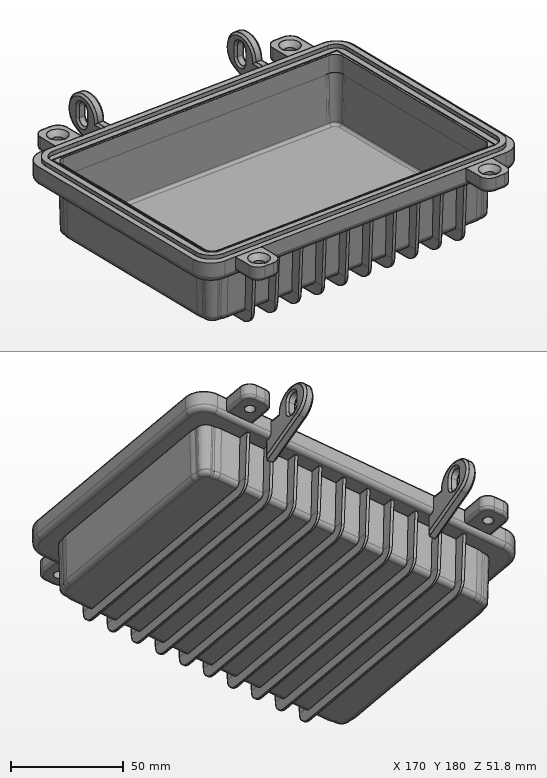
import cadquery as cq
import math


FLANGE_X = 130.0
FLANGE_Y = 180.0
FLANGE_CORNER = 10.0
FLANGE_TOP = 41.8
FLANGE_BOTTOM = 32.0
FLANGE_EDGE_ROUND = 2.5

GASKET_INSET = 2.9
GASKET_WIDTH = 3.0
GASKET_HEIGHT = 2.0
GASKET_CORNER = 9.0

TRAY_INSET = 9.0
TRAY_BOTTOM = 5.0
TRAY_DRAFT_ANGLE = 1.5
TRAY_CORNER = 10.0
TRAY_EDGE_ROUND = 2.5
COLUMN_INSET = 0.5
COLUMN_RADIUS = 5.2
WALL = 1.0
FLOOR = 1.0
CAVITY_CORNER = 4.3
CAVITY_FLOOR_ROUND = 1.5
REBATE_DEPTH = 0.4

FIN_COUNT = 10
FIN_PITCH = 13.3
FIN_ROOT_THICKNESS = 1.6
FIN_TIP_THICKNESS = 0.9
FIN_TOP_INSET = 3.8
FIN_TIP_INSET = 5.4
FIN_CORNER = 6.3
FIN_TAPER_HEIGHT = 7.0

HINGE_TIP_X = -90.0
HINGE_RADIUS = 10.0
HINGE_THICKNESS = 5.2
HINGE_CHAMFER = 1.0
HINGE_FOOT_X = -60.5
HINGE_FOOT_Z = 22.0
HINGE_YS = (47.5, -42.5)
SLOT_WIDTH = 6.1
SLOT_LENGTH = 11.9

EAR_WIDTH = 15.0
EAR_THICKNESS = 7.2
EAR_CORNER = 5.0
EAR_EDGE_ROUND = 1.5
EAR_HOLE_INSET = 7.5
EAR_HOLE_DIAMETER = 5.0
EAR_SINK_DIAMETER = 10.0
EAR_SINK_ANGLE = 90
LEFT_EAR_LENGTH = 15.5
LEFT_EAR_YS = (67.5, -64.6)
RIGHT_EAR_LENGTH = 15.0
RIGHT_EAR_YS = (64.6, -66.6)

FLANGE_HALF_X = FLANGE_X / 2
TRAY_X = FLANGE_X - 2 * TRAY_INSET
TRAY_Y = FLANGE_Y - 2 * TRAY_INSET
CAVITY_X = TRAY_X - 2 * WALL
CAVITY_Y = TRAY_Y - 2 * WALL
CAVITY_FLOOR = TRAY_BOTTOM + FLOOR


def block(size_x, size_y, bottom, top):
    """Box centred on the Z axis between two heights."""
    return cq.Workplane("XY", origin=(0, 0, bottom)).box(
        size_x, size_y, top - bottom, centered=(True, True, False)
    )


def drafted_block(size_x, size_y, corner, bottom):
    """Round-cornered block narrowing downwards from the flange underside."""
    return (
        cq.Workplane("XY", origin=(0, 0, FLANGE_BOTTOM))
        .sketch()
        .rect(size_x, size_y)
        .vertices()
        .fillet(corner)
        .finalize()
        .extrude(bottom - FLANGE_BOTTOM, taper=TRAY_DRAFT_ANGLE)
    )


def make_flange():
    flange = block(FLANGE_X, FLANGE_Y, FLANGE_BOTTOM, FLANGE_TOP).edges("|Z").fillet(FLANGE_CORNER)
    return flange.faces("<Z").edges().fillet(FLANGE_EDGE_ROUND)


def make_tray_block():
    """Outer shape of the tray, with a slimmer column standing proud of each rounded corner."""
    walls = drafted_block(TRAY_X, TRAY_Y, TRAY_CORNER, TRAY_BOTTOM)
    columns = drafted_block(
        TRAY_X - 2 * COLUMN_INSET, TRAY_Y - 2 * COLUMN_INSET, COLUMN_RADIUS, TRAY_BOTTOM
    )
    walls = walls.faces("<Z").edges().fillet(TRAY_EDGE_ROUND)
    columns = columns.faces("<Z").edges().fillet(TRAY_EDGE_ROUND)
    return walls.union(columns)


def make_cavity():
    """Space inside the housing: a shallow rebate, a straight throat and a drafted tray."""
    rebate = block(TRAY_X, TRAY_Y, FLANGE_TOP - REBATE_DEPTH, FLANGE_TOP)
    throat = block(CAVITY_X, CAVITY_Y, FLANGE_BOTTOM, FLANGE_TOP).edges("|Z").fillet(CAVITY_CORNER)
    hollow = drafted_block(CAVITY_X, CAVITY_Y, CAVITY_CORNER, CAVITY_FLOOR)
    hollow = hollow.faces("<Z").edges().fillet(CAVITY_FLOOR_ROUND)
    return rebate, throat, hollow


def make_fin():
    """One fin centred on Y = 0: a round-cornered plate that thins towards its lower edge."""
    top_half_x = FLANGE_HALF_X - FIN_TOP_INSET
    tip_half_x = FLANGE_HALF_X - FIN_TIP_INSET
    plate = (
        cq.Workplane("XZ")
        .polyline([
            (-top_half_x, FLANGE_BOTTOM),
            (-tip_half_x, 0),
            (tip_half_x, 0),
            (top_half_x, FLANGE_BOTTOM),
        ])
        .close()
        .extrude(FIN_ROOT_THICKNESS / 2, both=True)
        .edges("<Z and |Y")
        .fillet(FIN_CORNER)
    )
    wedge = (
        cq.Workplane("YZ")
        .polyline([
            (-FIN_ROOT_THICKNESS / 2, FLANGE_BOTTOM),
            (-FIN_ROOT_THICKNESS / 2, FIN_TAPER_HEIGHT),
            (-FIN_TIP_THICKNESS / 2, 0),
            (FIN_TIP_THICKNESS / 2, 0),
            (FIN_ROOT_THICKNESS / 2, FIN_TAPER_HEIGHT),
            (FIN_ROOT_THICKNESS / 2, FLANGE_BOTTOM),
        ])
        .close()
        .extrude(top_half_x, both=True)
    )
    return plate.intersect(wedge)


def make_hinge():
    """One hinge plate centred on Y = 0: a slotted eye with a web tapering down below the flange."""
    eye_x = HINGE_TIP_X + HINGE_RADIUS
    eye_z = FLANGE_TOP
    foot_distance = math.hypot(HINGE_FOOT_X - eye_x, eye_z - HINGE_FOOT_Z)
    foot_angle = math.atan2(HINGE_FOOT_Z - eye_z, HINGE_FOOT_X - eye_x)
    tangent_angle = foot_angle - math.acos(HINGE_RADIUS / foot_distance)
    tangent_point = (
        eye_x + HINGE_RADIUS * math.cos(tangent_angle),
        eye_z + HINGE_RADIUS * math.sin(tangent_angle),
    )
    half_diagonal = HINGE_RADIUS * math.sqrt(0.5)
    plate = (
        cq.Workplane("XZ")
        .moveTo(eye_x + HINGE_RADIUS, eye_z)
        .lineTo(HINGE_FOOT_X, eye_z)
        .lineTo(HINGE_FOOT_X, HINGE_FOOT_Z)
        .lineTo(*tangent_point)
        .threePointArc((eye_x - half_diagonal, eye_z + half_diagonal), (eye_x + HINGE_RADIUS, eye_z))
        .close()
        .extrude(HINGE_THICKNESS / 2, both=True)
    )
    slot = (
        cq.Workplane("XZ", origin=(eye_x, 0, eye_z))
        .slot2D(SLOT_LENGTH, SLOT_WIDTH, 90)
        .extrude(HINGE_THICKNESS, both=True)
    )
    return plate.cut(slot).faces("|Y").edges().chamfer(HINGE_CHAMFER)


def make_housing():
    housing = make_flange().union(make_tray_block())
    fin = make_fin()
    for index in range(FIN_COUNT):
        fin_y = (index - (FIN_COUNT - 1) / 2) * FIN_PITCH
        housing = housing.union(fin.translate((0, fin_y, 0)))
    hinge = make_hinge()
    for hinge_y in HINGE_YS:
        housing = housing.union(hinge.translate((0, hinge_y, 0)))
    for space in make_cavity():
        housing = housing.cut(space)
    return housing


def make_gasket():
    """Raised ring that follows the outline of the flange."""
    outer_x = FLANGE_X - 2 * GASKET_INSET
    outer_y = FLANGE_Y - 2 * GASKET_INSET
    top = FLANGE_TOP + GASKET_HEIGHT
    outer = block(outer_x, outer_y, FLANGE_TOP, top).edges("|Z").fillet(GASKET_CORNER)
    inner = block(outer_x - 2 * GASKET_WIDTH, outer_y - 2 * GASKET_WIDTH, FLANGE_TOP, top)
    return outer.cut(inner.edges("|Z").fillet(GASKET_CORNER - GASKET_WIDTH))


def make_ear(length, side, y):
    """Mounting ear on the flange edge; side is -1 for the -X edge and 1 for the +X edge."""
    root_x = side * FLANGE_HALF_X
    root_face, outer_face = (">X", "<X") if side < 0 else ("<X", ">X")
    ear = (
        cq.Workplane("XY", origin=(root_x + side * length / 2, y, FLANGE_TOP - EAR_THICKNESS / 2))
        .box(length, EAR_WIDTH, EAR_THICKNESS)
        .edges("|Z and " + outer_face)
        .fillet(EAR_CORNER)
        .edges("<Z and (not " + root_face + ")")
        .fillet(EAR_EDGE_ROUND)
    )
    hole_x = root_x + side * EAR_HOLE_INSET
    return (
        ear.copyWorkplane(cq.Workplane("XY", origin=(hole_x, y, FLANGE_TOP)))
        .cskHole(EAR_HOLE_DIAMETER, EAR_SINK_DIAMETER, EAR_SINK_ANGLE)
    )


housing = make_housing()
gasket = make_gasket()
ears = [make_ear(LEFT_EAR_LENGTH, -1, y) for y in LEFT_EAR_YS]
ears += [make_ear(RIGHT_EAR_LENGTH, 1, y) for y in RIGHT_EAR_YS]

result = cq.Compound.makeCompound([housing.val(), gasket.val(), *[ear.val() for ear in ears]])